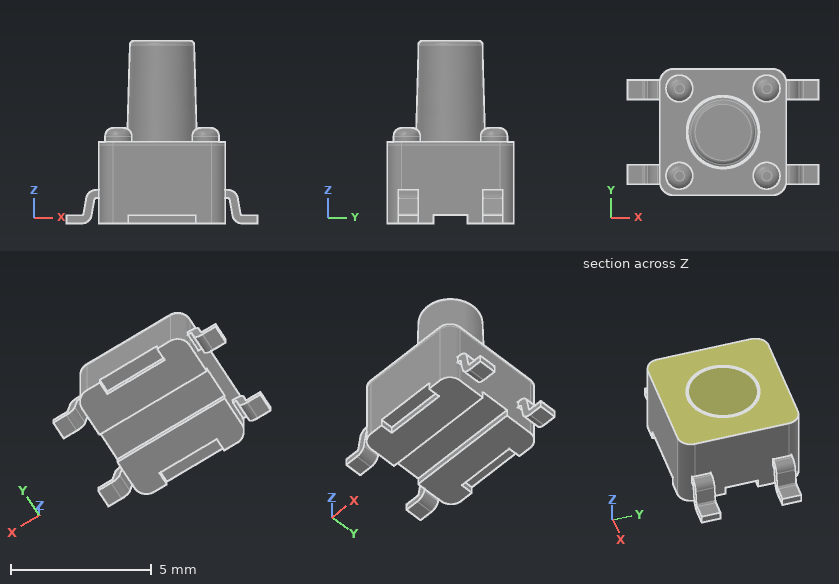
import cadquery as cq
import math


lead_span = 6.8
body_side = 4.5
body_height = 2.905
total_height = 6.5
corner_radius = 0.5

cover_thickness = 0.1
cover_bottom = body_height - cover_thickness

well_diameter = 2.6
well_depth = 0.2
well_floor = body_height - well_depth
button_bottom_diameter = 2.5
button_top_diameter = 2.285
button_edge_radius = 0.15

stake_diameter = 0.95
stake_rise = 0.5
stake_dome_radius = 0.3
stake_offset = 1.55

recess_height = 0.3
channel_width = 1.205
notch_width = 2.4
notch_depth = corner_radius

lead_thickness = 0.3
lead_width = 0.7
lead_offset = 1.5
lead_top = 1.205
lead_insertion = 0.135
foot_length = 0.6
lead_tilt = 10.0
outer_bend_radius = 0.36
inner_bend_radius = outer_bend_radius - lead_thickness

body_half = body_side / 2
stake_centres = [(sx * stake_offset, sy * stake_offset) for sx in (-1, 1) for sy in (-1, 1)]


def rounded_block(bottom, height):
    """Square block with rounded vertical corners, rising from the given bottom level."""
    return (
        cq.Workplane("XY", origin=(0, 0, bottom))
        .rect(body_side, body_side)
        .extrude(height)
        .edges("|Z")
        .fillet(corner_radius)
    )


def make_button():
    """Tapered round button with a rounded top edge, standing on the well floor."""
    return (
        cq.Workplane("XY", origin=(0, 0, well_floor))
        .circle(button_bottom_diameter / 2)
        .workplane(offset=total_height - well_floor)
        .circle(button_top_diameter / 2)
        .loft(ruled=True)
        .faces(">Z")
        .edges()
        .fillet(button_edge_radius)
    )


def make_stakes():
    """Four domed stakes near the corners of the top face."""
    return (
        cq.Workplane("XY", origin=(0, 0, body_height))
        .pushPoints(stake_centres)
        .circle(stake_diameter / 2)
        .extrude(stake_rise)
        .faces(">Z")
        .edges()
        .fillet(stake_dome_radius)
    )


def make_recesses():
    """Underside channel along X, with a shallow notch in the -Y and +Y faces."""
    recesses = cq.Workplane("XY").rect(body_side, channel_width).extrude(recess_height)
    for side in (-1, 1):
        notch = (
            cq.Workplane("XY")
            .center(0, side * (body_half - notch_depth / 2))
            .rect(notch_width, notch_depth)
            .extrude(recess_height)
        )
        recesses = recesses.union(notch)
    return recesses


def make_lead(side, y_centre):
    """Gull-wing lead of constant thickness; side is -1 for the -X face, +1 for the +X face."""
    tilt = math.radians(lead_tilt)
    mitre_shift = lead_thickness * math.tan((math.pi / 2 - tilt) / 2)
    toe_x = lead_span / 2
    heel_x = toe_x - foot_length
    shoulder_x = heel_x - (lead_top - lead_thickness) * math.tan(tilt)
    root_x = body_half - lead_insertion
    outline = [
        (toe_x, 0),
        (toe_x, lead_thickness),
        (heel_x, lead_thickness),
        (shoulder_x, lead_top),
        (root_x, lead_top),
        (root_x, lead_top - lead_thickness),
        (shoulder_x - mitre_shift, lead_top - lead_thickness),
        (heel_x - mitre_shift, 0),
    ]
    lead = (
        cq.Workplane("XZ", origin=(0, y_centre + lead_width / 2, 0))
        .polyline([(side * x, z) for x, z in outline])
        .close()
        .extrude(lead_width)
    )
    outer_bends = [(shoulder_x, lead_top), (heel_x - mitre_shift, 0)]
    inner_bends = [(heel_x, lead_thickness), (shoulder_x - mitre_shift, lead_top - lead_thickness)]
    for bends, radius in ((outer_bends, outer_bend_radius), (inner_bends, inner_bend_radius)):
        for x, z in bends:
            lead = lead.edges(cq.selectors.NearestToPointSelector((side * x, y_centre, z))).fillet(radius)
    return lead


def make_housing(leads):
    """Housing with cover layer, stakes, button well, underside recesses and lead sockets."""
    base = rounded_block(0, cover_bottom)
    cover = rounded_block(cover_bottom, cover_thickness)
    button_well = cq.Workplane("XY", origin=(0, 0, well_floor)).circle(well_diameter / 2).extrude(well_depth)
    housing = base.union(cover, clean=False).union(make_stakes(), clean=False)
    for pocket in (make_recesses(), button_well, *leads):
        housing = housing.cut(pocket, clean=False)
    return housing


leads = [make_lead(side, row * lead_offset) for side in (-1, 1) for row in (-1, 1)]
housing = make_housing(leads)
button = make_button()

result = cq.Compound.makeCompound([housing.val(), button.val(), *[lead.val() for lead in leads]])